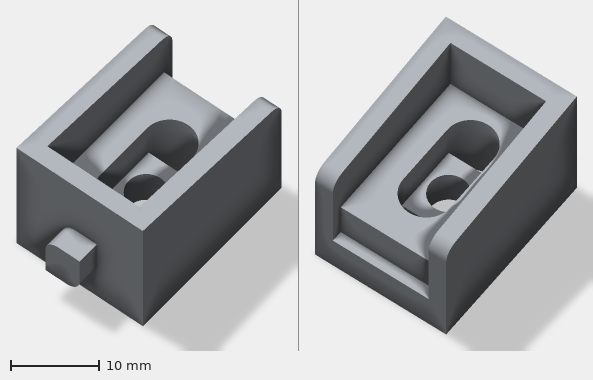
import cadquery as cq

width = 18.5
height = 18.5
overall_length = 28.1
peg_length = 3.1
body_length = overall_length - peg_length
wall = 2.5
top_drop = 2.0
corner_radius = 2.0

floor_height = 10.0
ledge_height = floor_height / 2
ledge_length = 1.5

slot_length = 15.03
slot_width = 6.6
bridge_length = 9.0
hole_diameter = 5.11
slot_center_y = 12.0

peg_width = 5.0
peg_height = 6.0
peg_bottom = 4.0
peg_radius = 2.0


def box(size_x, y_start, y_end, z_start, z_end):
    """Box centred on X, spanning the given Y and Z ranges."""
    return (
        cq.Workplane("XY", origin=(0, y_start, z_start))
        .box(size_x, y_end - y_start, z_end - z_start, centered=(True, False, False))
    )


def make_body():
    """Block with a sloping top and a rounded upper rear edge."""
    block = (
        cq.Workplane("YZ")
        .polyline([(0, 0), (body_length, 0), (body_length, height - top_drop), (0, height)])
        .close()
        .extrude(width / 2, both=True)
    )
    return block.faces(">Y").edges(">Z").fillet(corner_radius)


def make_channel():
    """Space between the side walls, open at the top and the rear, with a rear step."""
    inner_width = width - 2 * wall
    main = box(inner_width, wall, body_length, floor_height, height)
    step = box(inner_width, body_length - ledge_length, body_length, ledge_height, height)
    return main.union(step)


def make_slot():
    """Round-ended slot through the floor, less a lower bridge with a round hole."""
    center = (0, slot_center_y, 0)
    slot = (
        cq.Workplane("XY", origin=center)
        .slot2D(slot_length, slot_width, 90)
        .extrude(floor_height)
    )
    bridge = box(
        slot_width,
        slot_center_y - bridge_length / 2,
        slot_center_y + bridge_length / 2,
        0,
        ledge_height,
    )
    hole = cq.Workplane("XY", origin=center).circle(hole_diameter / 2).extrude(floor_height)
    return slot.cut(bridge).union(hole)


def make_peg():
    """Front peg with two diagonally opposite corners rounded."""
    peg = box(peg_width, -peg_length, 0, peg_bottom, peg_bottom + peg_height)
    peg = peg.faces("<X").edges(">Z").fillet(peg_radius)
    return peg.faces(">X").edges("<Z").fillet(peg_radius)


result = make_body().cut(make_channel()).cut(make_slot()).union(make_peg())